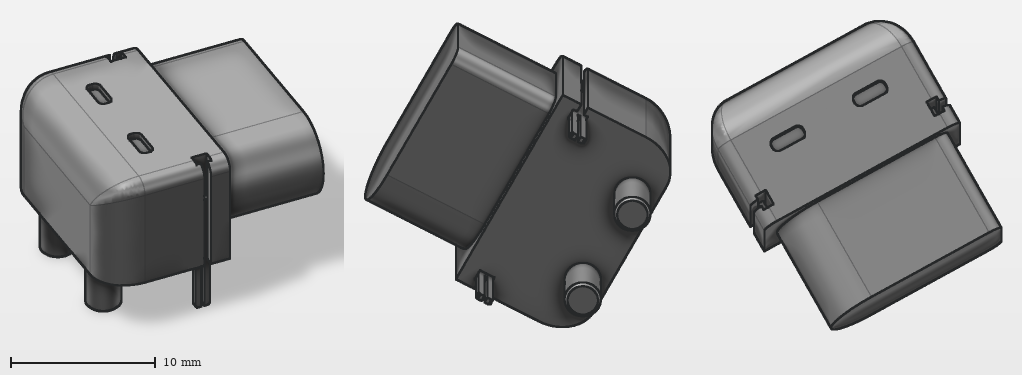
import cadquery as cq
import math

total_length = 17.2
housing_width = 15.5
housing_height = 8.4
housing_length = 9.53
leg_length = 4.0
top_edge_radius = 1.0

dome_depth = 3.0
dome_inset = 2.51
dome_tip_radius = 0.02
dome_section_count = 13
dome_start_y = dome_depth - housing_length

plug_width = 13.5
plug_height = 6.4
plug_length = total_length - housing_length
plug_top_z = housing_height - top_edge_radius
plug_corner_radius = 1.0

peg_diameter = 2.51
peg_offset_x = 3.6
peg_y = 1.8 - housing_length
peg_chamfer = 0.2

pocket_width = 2.5
pocket_length = 1.0
pocket_depth = 0.5
pocket_corner_radius = 0.4
pocket_offset_x = 3.25
pocket_y = 4.82 - housing_length

clip_thickness = 0.41
clip_width = 1.14
clip_top_z = 4.99
clip_offset_x = 6.76
clip_y = -1.72
fork_gap = 0.22
tip_chamfer_width = 0.14
tip_chamfer_height = 0.17
channel_width = 0.79
side_slot_length = 0.52

SIDES = (-1, 1)


def housing_section(y, inset, corner_radius):
    """Outline across X and Z: flat bottom, two rounded upper corners, drawn in by the inset."""
    half_width = housing_width / 2 - inset
    top = housing_height - inset
    corner_x = half_width - corner_radius
    corner_z = top - corner_radius
    arc_reach = corner_radius * math.sqrt(0.5)
    return (
        cq.Workplane("XZ", origin=(0, y, 0))
        .moveTo(-half_width, 0)
        .lineTo(half_width, 0)
        .lineTo(half_width, corner_z)
        .threePointArc((corner_x + arc_reach, corner_z + arc_reach), (corner_x, top))
        .lineTo(-corner_x, top)
        .threePointArc((-corner_x - arc_reach, corner_z + arc_reach), (-half_width, corner_z))
        .close()
    )


def make_dome():
    """Front end, whose upper corners sharpen steadily as the section shrinks along an ellipse."""
    sections = []
    for index in range(dome_section_count):
        angle = math.pi / 2 * index / (dome_section_count - 1)
        shrink = 1 - math.cos(angle)
        y = dome_start_y - dome_depth * math.sin(angle)
        corner_radius = top_edge_radius + (dome_tip_radius - top_edge_radius) * shrink
        sections.append(housing_section(y, dome_inset * shrink, corner_radius).val())
    return cq.Workplane(cq.Solid.makeLoft(sections))


def make_plug():
    half_width = plug_width / 2
    round_radius = plug_height / 2
    middle_z = plug_top_z - round_radius
    bottom_z = plug_top_z - plug_height
    return (
        cq.Workplane("XZ")
        .moveTo(-half_width, bottom_z)
        .lineTo(half_width - round_radius, bottom_z)
        .threePointArc((half_width, middle_z), (half_width - round_radius, plug_top_z))
        .lineTo(-half_width, plug_top_z)
        .close()
        .extrude(-plug_length)
        .edges("|Y and <X")
        .fillet(plug_corner_radius)
    )


def make_peg(side):
    return (
        cq.Workplane("XY", origin=(side * peg_offset_x, peg_y, 0))
        .circle(peg_diameter / 2)
        .extrude(-leg_length)
        .faces("<Z")
        .chamfer(peg_chamfer)
    )


def make_pocket(side):
    return (
        cq.Workplane("XY", origin=(side * pocket_offset_x, pocket_y, housing_height))
        .rect(pocket_width, pocket_length)
        .extrude(-pocket_depth)
        .edges("|Z")
        .fillet(pocket_corner_radius)
    )


def make_clip_opening(side):
    """Full-height channel around a clip, joined to the housing's side by a narrower slot."""
    channel = (
        cq.Workplane("XY", origin=(side * clip_offset_x, clip_y, 0))
        .rect(channel_width, clip_width)
        .extrude(housing_height)
    )
    slot_reach = housing_width / 2 - clip_offset_x
    side_slot = (
        cq.Workplane("XY", origin=(side * (clip_offset_x + slot_reach / 2), clip_y, 0))
        .rect(slot_reach, side_slot_length)
        .extrude(housing_height)
    )
    return channel.union(side_slot)


def make_housing():
    body = housing_section(0, 0, top_edge_radius).extrude(-dome_start_y)
    body = body.union(make_dome()).union(make_plug())
    for side in SIDES:
        body = body.union(make_peg(side))
        body = body.cut(make_pocket(side))
        body = body.cut(make_clip_opening(side))
    return body


def make_clip(side):
    """Flat blade inside the channel, splitting below the housing into two legs with cut outer tips."""
    half_width = clip_width / 2
    half_gap = fork_gap / 2
    outline = [
        (-half_width, clip_top_z),
        (half_width, clip_top_z),
        (half_width, tip_chamfer_height - leg_length),
        (half_width - tip_chamfer_width, -leg_length),
        (half_gap, -leg_length),
        (half_gap, 0),
        (-half_gap, 0),
        (-half_gap, -leg_length),
        (tip_chamfer_width - half_width, -leg_length),
        (-half_width, tip_chamfer_height - leg_length),
    ]
    return (
        cq.Workplane("YZ", origin=(side * clip_offset_x, clip_y, 0))
        .polyline(outline)
        .close()
        .extrude(clip_thickness / 2, both=True)
    )


housing = make_housing()
clips = [make_clip(side).val() for side in SIDES]

result = cq.Compound.makeCompound([housing.val(), *clips])